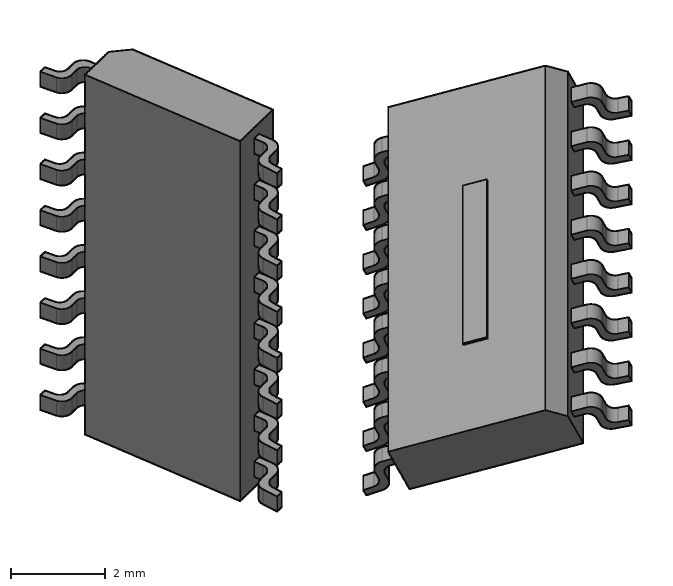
import cadquery as cq
import math


body_width = 3.93
body_length = 9.9
body_thickness = 1.25
standoff = 0.15
body_face = standoff + body_thickness
chamfer_across = 0.38
chamfer_depth = 0.35

overall_height = 1.45
strip_width = 0.54
strip_length = 4.53
strip_offset_x = -0.01
strip_offset_z = -0.19

lead_span = 6.0
leads_per_side = 8
lead_row_length = 8.89
lead_pitch = lead_row_length / (leads_per_side - 1)
lead_width = 0.42
lead_thickness = 0.18
lead_top = 0.86
leg_outer_x = body_width / 2 + 0.6
leg_inner_x = leg_outer_x - lead_thickness
foot_tilt = 5.0
bend_radius = 0.21
shoulder_radius = 0.26
heel_radius = 0.25


def make_body():
    half_width = body_width / 2
    outline = [
        (-half_width, standoff),
        (half_width, standoff),
        (half_width, body_face),
        (-half_width + chamfer_across, body_face),
        (-half_width, body_face - chamfer_depth),
    ]
    return cq.Workplane("XY").polyline(outline).close().extrude(body_length / 2, both=True)


def make_marking_strip():
    return (
        cq.Workplane("XZ", origin=(0, body_face, 0))
        .center(strip_offset_x, strip_offset_z)
        .rect(strip_width, strip_length)
        .extrude(body_face - overall_height)
    )


def make_lead():
    """Gull-wing lead on the +X side, centred on Z = 0."""
    toe_x = lead_span / 2
    foot_slope = math.tan(math.radians(foot_tilt))
    heel = (leg_inner_x, (toe_x - leg_inner_x) * foot_slope)
    instep = (leg_outer_x, lead_thickness + (toe_x - leg_outer_x) * foot_slope)
    shoulder = (leg_outer_x, lead_top)
    armpit = (leg_inner_x, lead_top - lead_thickness)
    root_x = body_width / 2
    outline = [
        (root_x, lead_top),
        shoulder,
        instep,
        (toe_x, lead_thickness),
        (toe_x, 0),
        heel,
        armpit,
        (root_x, lead_top - lead_thickness),
    ]
    lead = cq.Workplane("XY").polyline(outline).close().extrude(lead_width / 2, both=True)

    bends = [
        (shoulder, shoulder_radius),
        (instep, bend_radius),
        (heel, heel_radius),
        (armpit, bend_radius),
    ]
    for (x, y), radius in bends:
        corner = cq.selectors.NearestToPointSelector((x, y, 0))
        lead = lead.edges("|Z").edges(corner).fillet(radius)
    return lead


result = make_body().union(make_marking_strip())

right_lead = make_lead()
left_lead = right_lead.mirror("YZ")
for index in range(leads_per_side):
    lead_z = index * lead_pitch - lead_row_length / 2
    for lead in (right_lead, left_lead):
        result = result.union(lead.translate((0, 0, lead_z)))